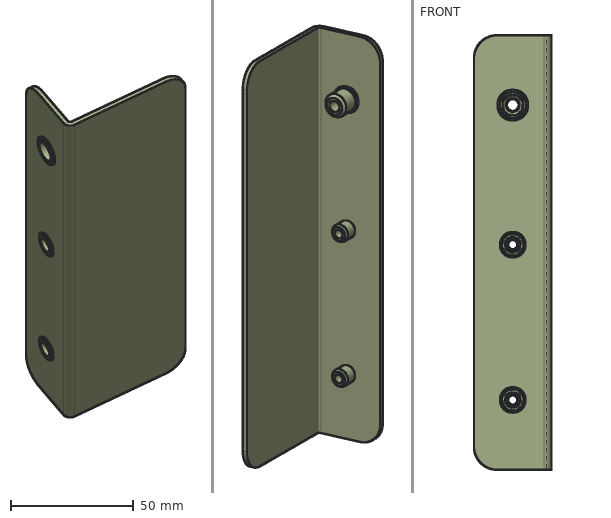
import cadquery as cq

LENGTH = 177.8
FACE_WIDTH = 31.8
SIDE_DEPTH = 57.0
THICKNESS = 2.1
BEND_INNER_RADIUS = 1.0
CORNER_RADIUS = 9.6

NUT_X = FACE_WIDTH / 2
END_SPACING = 28.6
LARGE_NUT_Z = LENGTH - END_SPACING
SMALL_NUT_HEIGHTS = (END_SPACING, 92.1)

HEAD_HEIGHT = 0.9
HEAD_RIM_HEIGHT = 0.5
TIP_LENGTH = 1.0
MOUTH_CONE_LENGTH = 1.5

LARGE_HEAD_DIAMETER = 12.6
LARGE_HEAD_FACE_DIAMETER = 10.7
LARGE_BODY_DIAMETER = 10.1
LARGE_BODY_LENGTH = 8.7
LARGE_TIP_DIAMETER = 7.3
LARGE_MOUTH_DIAMETER = 8.5
LARGE_MOUTH_DEPTH = 3.2
LARGE_MOUTH_FLOOR_DIAMETER = 5.5
LARGE_BORE_DIAMETER = 4.8
COLLAR_EDGE_DIAMETER = 10.8
COLLAR_DIAMETER = 11.5
COLLAR_LENGTH = 1.6

SMALL_HEAD_DIAMETER = 10.5
SMALL_HEAD_FACE_DIAMETER = 8.9
SMALL_BODY_DIAMETER = 7.6
SMALL_BODY_LENGTH = 5.5
SMALL_TIP_DIAMETER = 6.0
SMALL_MOUTH_DIAMETER = 6.2
SMALL_MOUTH_DEPTH = 2.3
SMALL_MOUTH_FLOOR_DIAMETER = 4.5
SMALL_BORE_DIAMETER = 3.7


def make_sheet():
    outer_radius = BEND_INNER_RADIUS + THICKNESS
    inner_x = FACE_WIDTH - THICKNESS
    sheet = (
        cq.Workplane("XY")
        .lineTo(FACE_WIDTH - outer_radius, 0)
        .radiusArc((FACE_WIDTH, outer_radius), -outer_radius)
        .lineTo(FACE_WIDTH, SIDE_DEPTH)
        .lineTo(inner_x, SIDE_DEPTH)
        .lineTo(inner_x, outer_radius)
        .radiusArc((inner_x - BEND_INNER_RADIUS, THICKNESS), BEND_INNER_RADIUS)
        .lineTo(0, THICKNESS)
        .close()
        .extrude(LENGTH)
    )
    sheet = sheet.faces("<X").edges("|Y").fillet(CORNER_RADIUS)
    return sheet.faces(">Y").edges("|X").fillet(CORNER_RADIUS)


def make_mounting_hole(diameter, z):
    """Cutter for the hole through the face flange that holds a nut body."""
    hole = cq.Workplane("XZ").circle(diameter / 2).extrude(-THICKNESS)
    return hole.translate((NUT_X, 0, z))


def make_bracket():
    bracket = make_sheet().cut(make_mounting_hole(LARGE_BODY_DIAMETER, LARGE_NUT_Z))
    for z in SMALL_NUT_HEIGHTS:
        bracket = bracket.cut(make_mounting_hole(SMALL_BODY_DIAMETER, z))
    return bracket


def make_frustum(start_diameter, end_diameter, y_start, length):
    """Round section along +Y that tapers evenly from one diameter to the other."""
    return (
        cq.Workplane("XY")
        .moveTo(0, y_start)
        .lineTo(start_diameter / 2, y_start)
        .lineTo(end_diameter / 2, y_start + length)
        .lineTo(0, y_start + length)
        .close()
        .revolve(360, (0, 0), (0, 1))
    )


def make_nut(head, head_face, body, tip, mouth, mouth_depth, mouth_floor, bore, body_length):
    """Rivet nut on the Y axis; body_length is measured from the back of the sheet."""
    body_end = THICKNESS + body_length
    total_length = HEAD_HEIGHT + body_end + TIP_LENGTH
    nut = make_frustum(head, head, -HEAD_RIM_HEIGHT, HEAD_RIM_HEIGHT)
    nut = nut.union(make_frustum(head_face, head, -HEAD_HEIGHT, HEAD_HEIGHT - HEAD_RIM_HEIGHT))
    nut = nut.union(make_frustum(body, body, 0, body_end))
    nut = nut.union(make_frustum(body, tip, body_end, TIP_LENGTH))
    nut = nut.cut(make_frustum(bore, bore, -HEAD_HEIGHT, total_length))
    nut = nut.cut(make_frustum(mouth, mouth, -HEAD_HEIGHT, mouth_depth))
    return nut.cut(make_frustum(mouth, mouth_floor, mouth_depth - HEAD_HEIGHT, MOUTH_CONE_LENGTH))


def make_collar():
    """Bulged ring around the large nut body, against the back of the sheet."""
    edge_radius = COLLAR_EDGE_DIAMETER / 2
    inner_radius = LARGE_BODY_DIAMETER / 2
    collar_end = THICKNESS + COLLAR_LENGTH
    return (
        cq.Workplane("XY")
        .moveTo(inner_radius, THICKNESS)
        .lineTo(edge_radius, THICKNESS)
        .threePointArc((COLLAR_DIAMETER / 2, THICKNESS + COLLAR_LENGTH / 2), (edge_radius, collar_end))
        .lineTo(inner_radius, collar_end)
        .close()
        .revolve(360, (0, 0), (0, 1))
    )


def make_large_nut():
    nut = make_nut(
        head=LARGE_HEAD_DIAMETER,
        head_face=LARGE_HEAD_FACE_DIAMETER,
        body=LARGE_BODY_DIAMETER,
        tip=LARGE_TIP_DIAMETER,
        mouth=LARGE_MOUTH_DIAMETER,
        mouth_depth=LARGE_MOUTH_DEPTH,
        mouth_floor=LARGE_MOUTH_FLOOR_DIAMETER,
        bore=LARGE_BORE_DIAMETER,
        body_length=LARGE_BODY_LENGTH,
    )
    return nut.union(make_collar()).translate((NUT_X, 0, LARGE_NUT_Z))


def make_small_nut(z):
    nut = make_nut(
        head=SMALL_HEAD_DIAMETER,
        head_face=SMALL_HEAD_FACE_DIAMETER,
        body=SMALL_BODY_DIAMETER,
        tip=SMALL_TIP_DIAMETER,
        mouth=SMALL_MOUTH_DIAMETER,
        mouth_depth=SMALL_MOUTH_DEPTH,
        mouth_floor=SMALL_MOUTH_FLOOR_DIAMETER,
        bore=SMALL_BORE_DIAMETER,
        body_length=SMALL_BODY_LENGTH,
    )
    return nut.translate((NUT_X, 0, z))


bracket = make_bracket()
large_nut = make_large_nut()
small_nuts = [make_small_nut(z) for z in SMALL_NUT_HEIGHTS]

result = cq.Compound.makeCompound([bracket.val(), large_nut.val(), *[nut.val() for nut in small_nuts]])